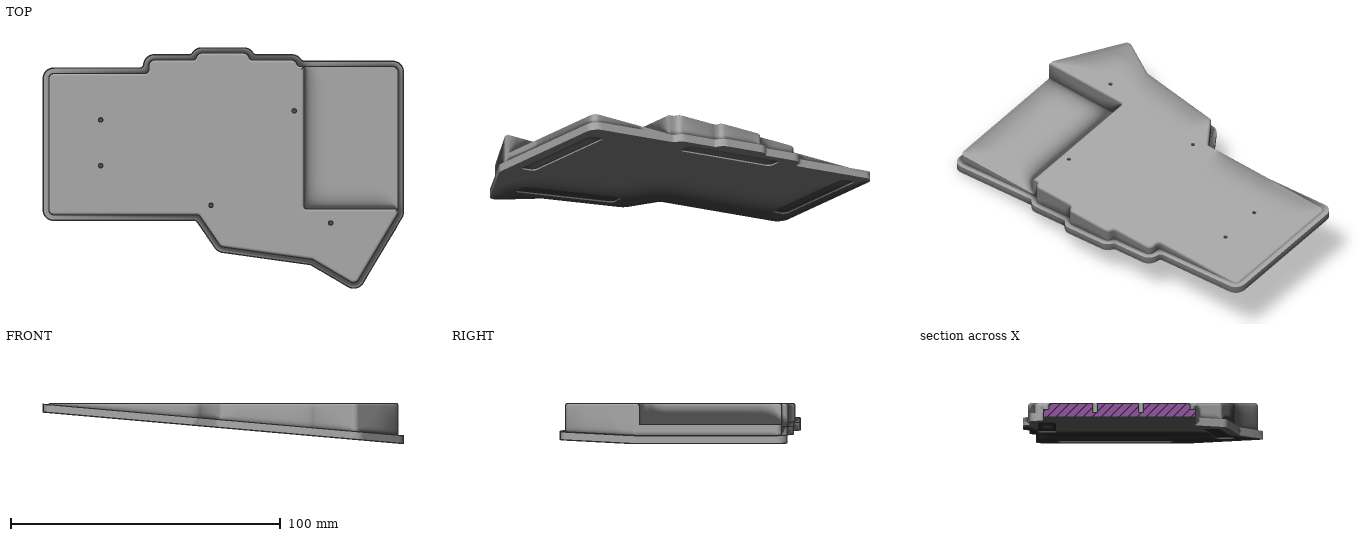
import cadquery as cq
import math

LENGTH = 133.7
TILT = 5.0
FLANGE_DROP = 0.33
FLANGE_THICKNESS = 3.0
FLANGE_ROUND = 4.0
FLANGE_NOTCH = 1.5
LEDGE = 2.0
BODY_ROUND = FLANGE_ROUND - LEDGE
BODY_NOTCH = 1.5
TOP_FILLET = 1.0

PLATFORM_LEFT = 96.8
PLATFORM_FRONT = 4.3
PLATFORM_DEPTH = 7.9
PLATFORM_CORNER = 1.1

HOLE_DIAMETER = 1.6
HOLE_DEPTH = 3.3
HOLES = [(21.4, 37.3), (21.4, 20.3), (93.2, 40.7), (62.3, 5.6), (106.7, -1.0)]

STRIP_LENGTH = 42.8
STRIP_WIDTH = 6.7
STRIP_CORNER = 2.0
STRIP_DEPTH = 0.5
STRIPS = [(8.0, 29.8, 90), (125.7, 29.8, 90), (66.6, 55.1, 0), (93.4, -8.5, -7.9)]

LEFT = FLANGE_ROUND
RIGHT = LENGTH - FLANGE_ROUND
FRONT = FLANGE_ROUND
BACK_LEFT = 52.5
BACK_STEP = 57.5
BACK_CENTRE = 60.0
BACK_RIGHT = 55.1
CORE = [
    (LEFT, FRONT),
    (59.0, FRONT),
    (67.1, -7.9),
    (100.7, -12.6),
    (115.3, -21.1),
    (RIGHT, 3.1),
    (RIGHT, BACK_RIGHT),
    (92.3, BACK_RIGHT),
    (92.3, BACK_STEP),
    (74.5, BACK_STEP),
    (74.5, BACK_CENTRE),
    (58.8, BACK_CENTRE),
    (58.8, BACK_STEP),
    (41.3, BACK_STEP),
    (41.3, BACK_LEFT),
    (LEFT, BACK_LEFT),
]

slope = math.tan(math.radians(TILT))
underside_drop = FLANGE_DROP + FLANGE_THICKNESS
total_height = underside_drop + LENGTH * slope


def outline_prism(outward_radius, inward_radius):
    """Full-height prism whose outline lies outward_radius outside the core.

    Growing the core too far and shrinking it back rounds the inward corners as well.
    """
    return (
        cq.Workplane("XY", origin=(0, 0, -total_height))
        .polyline(CORE)
        .close()
        .offset2D(outward_radius + inward_radius)
        .offset2D(-inward_radius)
        .extrude(total_height)
    )


def space_below(drop):
    """Everything below the sloping plane that passes drop under the top face at X = 0."""
    reach = 2 * LENGTH
    return (
        cq.Workplane("XZ", origin=(0, LENGTH, 0))
        .polyline([(-reach, reach * slope - drop), (reach, -reach * slope - drop), (-reach, -reach)])
        .close()
        .extrude(reach)
    )


def platform_space():
    """Open space above the lower platform, running out past the back and right walls."""
    return (
        cq.Workplane("XY", origin=(PLATFORM_LEFT, PLATFORM_FRONT, -PLATFORM_DEPTH))
        .rect(LENGTH, LENGTH, centered=False)
        .extrude(total_height)
        .edges("|Z")
        .fillet(PLATFORM_CORNER)
    )


def strip_groove(x, y, direction):
    """Rounded bar lying in the sloping underside."""
    bar = (
        cq.Workplane("XY")
        .rect(STRIP_LENGTH, STRIP_WIDTH)
        .extrude(2 * STRIP_DEPTH)
        .translate((0, 0, -STRIP_DEPTH))
        .edges("|Z")
        .fillet(STRIP_CORNER)
    )
    return (
        bar.rotate((0, 0, 0), (0, 0, 1), direction)
        .rotate((0, 0, 0), (0, 1, 0), TILT)
        .translate((x, y, -underside_drop - x * slope))
    )


flange = outline_prism(FLANGE_ROUND, FLANGE_NOTCH).intersect(space_below(FLANGE_DROP))
body = outline_prism(BODY_ROUND, BODY_NOTCH).cut(platform_space())
body = body.faces(">Z").edges().fillet(TOP_FILLET)
result = flange.union(body).cut(space_below(underside_drop))

for strip in STRIPS:
    result = result.cut(strip_groove(*strip))

holes = cq.Workplane("XY").pushPoints(HOLES).circle(HOLE_DIAMETER / 2).extrude(-HOLE_DEPTH)
result = result.cut(holes).solids()